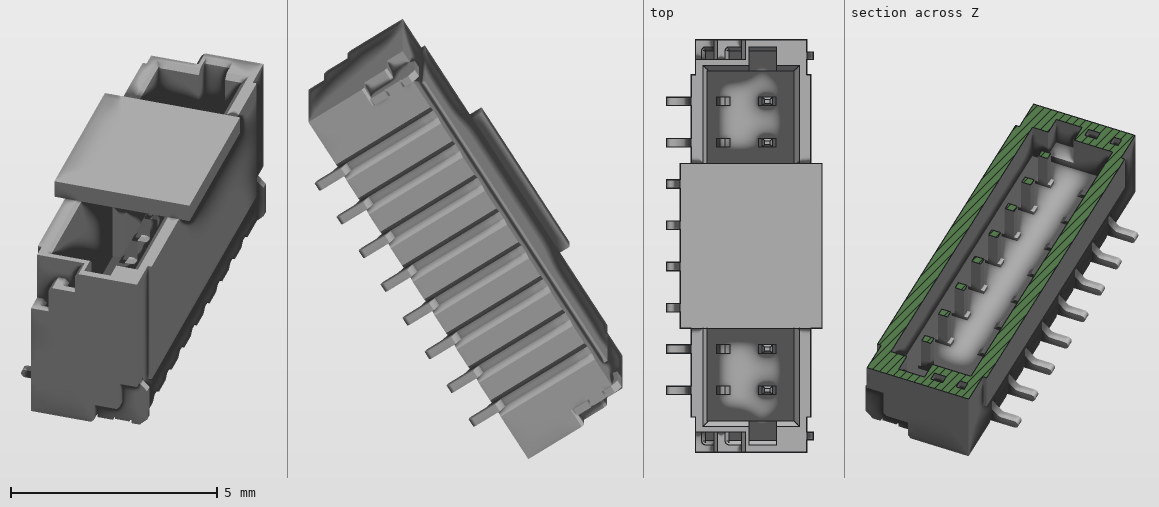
import cadquery as cq


length = 10.0
width = 2.7
bottom_z = 0.04
rim_z = 4.3
side_panel_length = 8.3
side_panel_thickness = 0.1
side_panel_bottom_z = 1.0

floor_z = 1.0
cavity_left_x = -1.07
cavity_right_x = 1.04
cavity_length = 8.48
cavity_bevel = 0.13
left_rim_x = -1.16
key_left_x = -0.05
key_right_x = 0.62
key_wall = 0.28
key_floor_z = 1.2
key_bevel = 0.1

notch_depth = 0.49
notch_chamfer = 0.09
low_step_z = 3.05
high_step_z = 3.75
low_step_width = 0.45
high_step_width = 1.12
pocket_wall = 0.28
low_pocket_offset = 0.25
high_pocket_offset = 0.82
pocket_bevel = 0.1

contact_count = 8
pitch = 1.0
contact_width = 0.21
pin_left_x = 0.27
pin_right_x = 0.52
pin_top_z = 3.26
pin_tip_inset = 0.06
pin_tip_height = 0.09
pin_foot_left_x = 0.18
pin_foot_right_x = 0.6
pin_foot_height = 0.1
tail_left_x = -0.84
tail_right_x = -0.51
tail_height = 0.12
tail_bevel = 0.09
lead_tip_x = -2.05
lead_thickness = 0.21
lead_bend_x = -1.54
lead_bend_radius = 0.12
lead_heel_x = -1.29
lead_recess_depth = 0.22
lead_relief_width = 0.48

foot_notch_depth = 0.49
foot_notch_left_x = 0.25
foot_notch_step_x = 0.9
foot_notch_step_z = 0.55
foot_notch_top_z = 1.3
foot_chamfer = 0.07
tab_thickness = 0.19
tab_right_x = 1.51
tab_corner = 0.19
tab_top_z = 1.21
tab_peak_width = 0.15
tab_peak_base_width = 0.23
tab_gap_left_x = 0.64
tab_gap_right_x = 1.11
tab_relief_width = 0.05
tab_relief_z = 0.09

cap_width = 3.44
cap_length = 4.0
cap_thickness = 0.45
clip_length = 2.56
clip_leg_width = 0.36
clip_gap = 0.79
clip_bottom_z = 2.36
clip_taper_width = 0.18
clip_taper_height = 0.31

bevel_angle = 45
half_length = length / 2
half_width = width / 2
lead_recess_x = lead_recess_depth - half_width
lead_top_z = lead_thickness + lead_recess_x - lead_bend_x
contact_ys = [(i - (contact_count - 1) / 2) * pitch for i in range(contact_count)]


def block(x0, x1, y0, y1, z0, z1):
    """Axis-aligned box between two corners."""
    return cq.Workplane("XY").box(x1 - x0, y1 - y0, z1 - z0, centered=False).translate((x0, y0, z0))


def slab(points, y0, y1):
    """Closed outline in X and Z, extruded from y0 to y1."""
    return cq.Workplane("XZ", origin=(0, y0, 0)).polyline(points).close().extrude(y0 - y1)


def both_ends(shape):
    """The shape together with its mirror image at the other end."""
    return shape.union(shape.mirror("XZ"))


def make_shell():
    """Plain housing with the raised panels on its long sides."""
    body = block(-half_width, half_width, -half_length, half_length, bottom_z, rim_z)
    panel_x = half_width + side_panel_thickness
    panel_y = side_panel_length / 2
    return body.union(block(-panel_x, panel_x, -panel_y, panel_y, side_panel_bottom_z, rim_z))


def make_cavity():
    """Mating cavity with a 45 degree mouth and a keyway at each end."""
    end_y = cavity_length / 2
    cavity = block(cavity_left_x, cavity_right_x, -end_y, end_y, floor_z, rim_z)
    mouth_right_x = cavity_right_x + cavity_bevel
    mouth = (
        cq.Workplane("XY", origin=((left_rim_x + mouth_right_x) / 2, 0, rim_z))
        .rect(mouth_right_x - left_rim_x, cavity_length + 2 * cavity_bevel)
        .extrude(-cavity_bevel, taper=bevel_angle)
    )
    key_y = half_length - key_wall
    keyway = block(key_left_x, key_right_x, -key_y, key_y, key_floor_z, rim_z)
    key_mouth = (
        cq.Workplane("YZ", origin=(key_left_x, 0, 0))
        .moveTo(-key_y, rim_z - key_bevel)
        .lineTo(key_y, rim_z - key_bevel)
        .lineTo(key_y + key_bevel, rim_z)
        .lineTo(-key_y - key_bevel, rim_z)
        .close()
        .extrude(key_right_x - key_left_x)
    )
    return cavity.union(mouth).union(keyway).union(key_mouth)


def notch_pocket(offset, wall_offset, top_z):
    """Bevel-mouthed pocket sunk into one notch step, up to the next step's wall."""
    x0 = offset - half_width
    x1 = wall_offset - half_width
    y0 = pocket_wall - half_length
    y1 = notch_depth - half_length
    pocket = block(x0, x1, y0, y1, floor_z, top_z)
    mouth = (
        cq.Workplane("XY", origin=(0, 0, top_z - pocket_bevel))
        .moveTo(x0, y0)
        .lineTo(2 * x1 - x0, y0)
        .lineTo(2 * x1 - x0, 2 * y1 - y0)
        .lineTo(x0, 2 * y1 - y0)
        .close()
        .extrude(pocket_bevel, taper=-bevel_angle)
    )
    corner = block(x0 - pocket_bevel, x1, y0 - pocket_bevel, y1, top_z - pocket_bevel, top_z)
    return pocket.union(mouth.intersect(corner))


def make_end_notches():
    """Two-step notches with chamfered steps and a pocket in each step."""
    low_x = low_step_width - half_width
    high_x = high_step_width - half_width
    profile = [
        (-half_width, low_step_z),
        (low_x, low_step_z),
        (low_x, high_step_z - notch_chamfer),
        (low_x + notch_chamfer, high_step_z),
        (high_x, high_step_z),
        (high_x, rim_z - notch_chamfer),
        (high_x + notch_chamfer, rim_z),
        (-half_width, rim_z),
    ]
    notch = slab(profile, -half_length, notch_depth - half_length)
    notch = notch.union(notch_pocket(low_pocket_offset, low_step_width, low_step_z))
    notch = notch.union(notch_pocket(high_pocket_offset, high_step_width, high_step_z))
    return both_ends(notch)


def make_foot_notches():
    """L-shaped notches that expose the solder tabs."""
    profile = [
        (half_width, bottom_z),
        (half_width, foot_notch_top_z),
        (foot_notch_step_x, foot_notch_top_z),
        (foot_notch_step_x, foot_notch_step_z + foot_chamfer),
        (foot_notch_step_x - foot_chamfer, foot_notch_step_z),
        (foot_notch_left_x, foot_notch_step_z),
        (foot_notch_left_x, bottom_z + foot_chamfer),
        (foot_notch_left_x - foot_chamfer, bottom_z),
    ]
    return both_ends(slab(profile, -half_length, foot_notch_depth - half_length))


def make_solder_tabs():
    """Flat tabs standing on the board and reaching past the +X side."""
    sole = [
        (foot_notch_left_x, 0),
        (tab_gap_left_x, 0),
        (tab_gap_left_x, tab_relief_z),
        (tab_gap_left_x + tab_relief_width, tab_relief_z),
        (tab_gap_left_x + tab_relief_width, bottom_z),
        (tab_gap_right_x - tab_relief_width, bottom_z),
        (tab_gap_right_x - tab_relief_width, tab_relief_z),
        (tab_gap_right_x, tab_relief_z),
        (tab_gap_right_x, 0),
        (tab_right_x - tab_corner, 0),
    ]
    upright = [
        (tab_right_x, tab_corner),
        (tab_right_x, tab_top_z - tab_corner),
        (tab_right_x - tab_corner, tab_top_z),
        (foot_notch_step_x + tab_peak_base_width, tab_top_z),
        (foot_notch_step_x + tab_peak_width, foot_notch_top_z),
        (foot_notch_step_x, foot_notch_top_z),
        (foot_notch_step_x, foot_notch_step_z + foot_chamfer),
        (foot_notch_step_x - foot_chamfer, foot_notch_step_z),
        (foot_notch_left_x, foot_notch_step_z),
    ]
    y1 = foot_notch_depth - half_length
    return both_ends(slab(sole + upright, y1 - tab_thickness, y1))


def lead_recess(y):
    """Slot around one lead in the -X wall, with a flare that runs under the whole housing."""
    half_slot = contact_width / 2
    half_flare = lead_relief_width / 2
    flare_top_z = bottom_z + half_flare - half_slot
    slot = block(-half_width, lead_recess_x, y - half_slot, y + half_slot, bottom_z, lead_top_z)
    flare_profile = [
        (y - half_flare, bottom_z),
        (y + half_flare, bottom_z),
        (y + half_slot, flare_top_z),
        (y - half_slot, flare_top_z),
    ]
    flare = cq.Workplane("YZ", origin=(-half_width, 0, 0)).polyline(flare_profile).close().extrude(width)
    return slot.union(flare)


def make_contact(y):
    """One contact in two pieces: the soldered lead, and the tail and mating pin on the cavity floor."""
    y0 = y - contact_width / 2
    y1 = y + contact_width / 2
    tip_radius = lead_thickness / 2
    lead = (
        cq.Workplane("XZ", origin=(0, y0, 0))
        .moveTo(lead_tip_x + tip_radius, 0)
        .lineTo(lead_heel_x, 0)
        .lineTo(lead_recess_x, lead_recess_x - lead_heel_x)
        .lineTo(lead_recess_x, lead_top_z)
        .lineTo(lead_bend_x, lead_thickness)
        .lineTo(lead_tip_x + tip_radius, lead_thickness)
        .threePointArc((lead_tip_x, tip_radius), (lead_tip_x + tip_radius, 0))
        .close()
        .extrude(-contact_width)
    )
    bend_point = (lead_bend_x, y, lead_thickness)
    lead = lead.edges(cq.NearestToPointSelector(bend_point)).fillet(lead_bend_radius)
    tail_top_z = floor_z + tail_height
    tail_profile = [
        (tail_left_x, floor_z),
        (tail_left_x, tail_top_z - tail_bevel),
        (tail_left_x + tail_bevel, tail_top_z),
        (tail_right_x - tail_height, tail_top_z),
        (tail_right_x, floor_z),
    ]
    tail = slab(tail_profile, y0, y1)
    foot = block(pin_foot_left_x, pin_foot_right_x, y0, y1, floor_z, floor_z + pin_foot_height)
    pin = block(pin_left_x, pin_right_x, y0, y1, floor_z, pin_top_z)
    pin = pin.faces(">Z").chamfer(pin_tip_height, pin_tip_inset)
    return lead, tail.union(foot).union(pin)


def make_cap():
    """Flat pick-up plate with two tapered clip legs around the pins."""
    plate = block(
        -cap_width / 2, cap_width / 2, -cap_length / 2, cap_length / 2, rim_z, rim_z + cap_thickness
    )
    inner_x = cavity_right_x - clip_leg_width
    leg_profile = [
        (inner_x, rim_z),
        (inner_x, clip_bottom_z + clip_taper_height),
        (inner_x + clip_taper_width, clip_bottom_z),
        (cavity_right_x, clip_bottom_z),
        (cavity_right_x, rim_z),
    ]
    right_leg = slab(leg_profile, -clip_length / 2, clip_length / 2)
    left_leg = right_leg.mirror("YZ", (inner_x - clip_gap / 2, 0, 0))
    return plate.union(right_leg).union(left_leg)


result = make_shell().cut(make_cavity()).cut(make_end_notches()).cut(make_foot_notches())
for contact_y in contact_ys:
    result = result.cut(lead_recess(contact_y))
    for piece in make_contact(contact_y):
        result = result.union(piece)
result = result.union(make_solder_tabs()).union(make_cap())